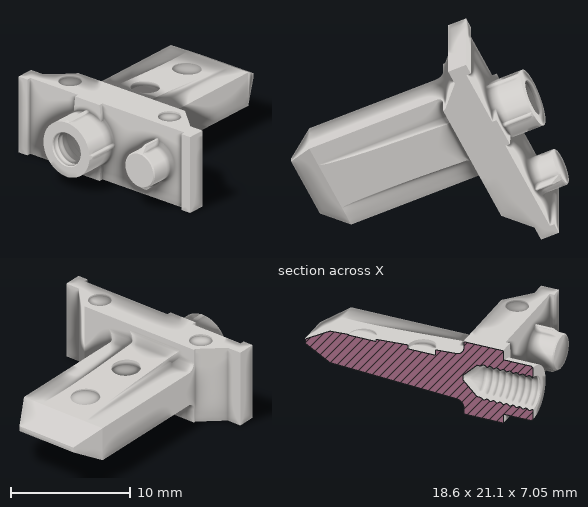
import cadquery as cq
import math

flange_length = 18.6
flange_height = 7.05
flange_back_y = 3.68
foot_width = 0.95
foot_back_y = 1.65
seat_y = 0.4
slope_outer_x = 7.97
slope_inner_x = 5.73

pad_end_width = 2.66
pad_side_angle = 5.5

blade_center_x = -1.75
blade_width = 8.4
blade_thickness = 3.1
tip_length = 2.28
tip_taper_angle = 30
blade_end_y = 18.3
shoulder_y = blade_end_y - tip_length
blade_root_fillet = 0.7

rib_width = 4.0
rib_side_fillet = 0.4
rib_root_height = 0.7
rib_root_end_y = 6.0

rib_pocket_diameter = 2.5
rib_pocket_ys = (7.53, 13.03)
rib_pocket_floor_z = blade_thickness / 2 + 0.03
flange_pocket_diameter = 2.0
flange_pocket_x = 5.4
flange_pocket_y = 2.05
flange_pocket_depth = 0.2

socket_x = -1.85
socket_diameter = 5.0
socket_end_y = -2.75
socket_root_fillet = 0.15
socket_bead_radius = 0.24
socket_bead_height = 0.16
socket_bead_chamfer = 0.2

bore_diameter = 3.0
bore_mouth_chamfer = 0.07
bore_depth = 5.2
bore_tip_diameter = 0.5
bore_tip_angle = 90
thread_pitch = 0.6
thread_depth = 0.2
thread_count = 8

pin_x = 5.45
pin_diameter = 3.2
pin_end_y = -2.0
pin_root_fillet = 0.3
pin_end_chamfer = 0.1
pin_key_top_z = 2.12
pin_key_base_width = 0.6
pin_key_tip_radius = 0.13
pin_key_slope_start_y = -1.16


def cylinder_along_y(x, radius, start_y, end_y):
    """Solid cylinder parallel to Y, centred on Z = 0."""
    return cq.Workplane("XZ", origin=(x, start_y, 0)).circle(radius).extrude(start_y - end_y)


def revolved_about_y(x, profile):
    """Revolve (radius, y) points about the line parallel to Y through X = x."""
    section = cq.Workplane("XY", origin=(x, 0, 0)).polyline(profile).close()
    return section.revolve(360, (0, 0, 0), (0, 1, 0))


def mirrored_in_z(upper):
    """Upper solid together with its mirror image below Z = 0."""
    return upper.union(upper.mirror("XY"))


def make_flange():
    """Flange plate with two feet; its left slope stops at the side of the blade."""
    half_length = flange_length / 2
    foot_inner_x = half_length - foot_width
    right_side = [
        (foot_inner_x, seat_y),
        (foot_inner_x, 0),
        (half_length, 0),
        (half_length, foot_back_y),
        (slope_outer_x, foot_back_y),
        (slope_inner_x, flange_back_y),
    ]
    blade_side_x = blade_center_x - blade_width / 2
    slope = (flange_back_y - foot_back_y) / (slope_outer_x - slope_inner_x)
    left_side = [
        (blade_side_x, flange_back_y),
        (blade_side_x, foot_back_y + slope * (slope_outer_x + blade_side_x)),
        (-slope_outer_x, foot_back_y),
        (-half_length, foot_back_y),
        (-half_length, 0),
        (-foot_inner_x, 0),
        (-foot_inner_x, seat_y),
    ]
    outline = cq.Workplane("XY").polyline(right_side + left_side).close()
    return outline.extrude(flange_height / 2, both=True)


def make_pad():
    """Pad flush with the feet, widening from both flange edges toward the socket."""
    half_height = flange_height / 2
    half_end = pad_end_width / 2
    half_middle = half_end + half_height * math.tan(math.radians(pad_side_angle))
    outline = [
        (-half_end, -half_height),
        (half_end, -half_height),
        (half_middle, 0),
        (half_end, half_height),
        (-half_end, half_height),
        (-half_middle, 0),
    ]
    return cq.Workplane("XZ", origin=(socket_x, 0, 0)).polyline(outline).close().extrude(-flange_back_y / 2)


def make_blade():
    """Rectangular blade with a tip tapered on all four sides."""
    start_y = flange_back_y / 2
    body = cq.Workplane("XZ", origin=(blade_center_x, start_y, 0))
    body = body.rect(blade_width, blade_thickness).extrude(start_y - shoulder_y)
    tip = cq.Workplane("XZ", origin=(blade_center_x, shoulder_y, 0))
    tip = tip.rect(blade_width, blade_thickness).extrude(-tip_length, taper=tip_taper_angle)
    return body.union(tip)


def make_rib_wedge(width, end_y):
    """Plain rib on the blade, sloping down toward the tip and cut off at end_y."""
    face_z = blade_thickness / 2
    start_y = flange_back_y / 2
    slope = rib_root_height / (shoulder_y - flange_back_y)
    outline = [
        (start_y, 0),
        (end_y, 0),
        (end_y, face_z + slope * (shoulder_y - end_y)),
        (start_y, face_z + slope * (shoulder_y - start_y)),
    ]
    side = cq.Workplane("YZ", origin=(blade_center_x, 0, 0)).polyline(outline).close()
    return side.extrude(width / 2, both=True)


def make_rib_section():
    """Prism with the rib section: quarter-round flares onto the blade, taller than the rib."""
    face_z = blade_thickness / 2
    fillet_z = face_z + rib_side_fillet
    top_z = face_z + 2 * rib_root_height
    start_y = flange_back_y / 2
    inner_x = rib_width / 2
    outer_x = inner_x + rib_side_fillet
    arc_offset = rib_side_fillet * (1 - math.sqrt(0.5))
    return (
        cq.Workplane("XZ", origin=(blade_center_x, start_y, 0))
        .moveTo(-outer_x, 0)
        .lineTo(-outer_x, face_z)
        .threePointArc((-inner_x - arc_offset, face_z + arc_offset), (-inner_x, fillet_z))
        .lineTo(-inner_x, top_z)
        .lineTo(inner_x, top_z)
        .lineTo(inner_x, fillet_z)
        .threePointArc((inner_x + arc_offset, face_z + arc_offset), (outer_x, face_z))
        .lineTo(outer_x, 0)
        .close()
        .extrude(start_y - shoulder_y)
    )


def make_rib_roots():
    """Short sharp-cornered starts of both ribs, which carry the fillet onto the flange."""
    return mirrored_in_z(make_rib_wedge(rib_width, rib_root_end_y))


def make_ribs():
    """Both ribs at full length, with the side flares running out toward the tip."""
    wedge = make_rib_wedge(blade_width, shoulder_y)
    return mirrored_in_z(make_rib_section().intersect(wedge))


def fillet_blade_root(body):
    """Round the corner between the flange and the blade with its rib roots."""
    margin = 0.05
    reach_x = blade_width / 2 + margin
    reach_z = blade_thickness / 2 + rib_root_height + margin
    root_edges = cq.selectors.BoxSelector(
        (blade_center_x - reach_x, flange_back_y - margin, -reach_z),
        (blade_center_x + reach_x, flange_back_y + margin, reach_z),
    )
    return body.edges(root_edges).fillet(blade_root_fillet)


def make_root_fillet(x, radius, fillet_radius):
    """Concave ring between a round post and the seat face of the flange."""
    arc_offset = fillet_radius * (1 - math.sqrt(0.5))
    return (
        cq.Workplane("XY", origin=(x, 0, 0))
        .moveTo(0, seat_y)
        .lineTo(radius + fillet_radius, seat_y)
        .threePointArc((radius + arc_offset, seat_y - arc_offset), (radius, seat_y - fillet_radius))
        .lineTo(0, seat_y - fillet_radius)
        .close()
        .revolve(360, (0, 0, 0), (0, 1, 0))
    )


def make_socket():
    """Round socket post with four beads along its side, chamfered at the free end."""
    radius = socket_diameter / 2
    bead_reach = radius + socket_bead_height
    socket = cylinder_along_y(socket_x, radius, seat_y, socket_end_y)
    envelope = revolved_about_y(socket_x, [
        (0, seat_y),
        (bead_reach, seat_y),
        (bead_reach, socket_end_y + socket_bead_chamfer),
        (radius, socket_end_y),
        (0, socket_end_y),
    ])
    beads = (
        cq.Workplane("XZ", origin=(socket_x, seat_y, 0))
        .polarArray(bead_reach - socket_bead_radius, 0, 360, 4)
        .circle(socket_bead_radius)
        .extrude(seat_y - socket_end_y)
    )
    root = make_root_fillet(socket_x, radius, socket_root_fillet)
    return socket.union(beads.intersect(envelope)).union(root)


def make_bore():
    """Cutter for the socket hole: mouth chamfer, V-ring thread and conical bottom."""
    radius = bore_diameter / 2
    tip_radius = bore_tip_diameter / 2
    tip_length_y = (radius - tip_radius) / math.tan(math.radians(bore_tip_angle / 2))
    thread_start_y = socket_end_y + bore_mouth_chamfer
    profile = [(0, socket_end_y), (radius + bore_mouth_chamfer, socket_end_y), (radius, thread_start_y)]
    for turn in range(thread_count):
        crest_y = thread_start_y + turn * thread_pitch
        profile.append((radius + thread_depth, crest_y + thread_pitch / 2))
        profile.append((radius, crest_y + thread_pitch))
    cone_start_y = socket_end_y + bore_depth
    profile.append((radius, cone_start_y))
    profile.append((tip_radius, cone_start_y + tip_length_y))
    profile.append((0, cone_start_y + tip_length_y))
    return revolved_about_y(socket_x, profile)


def make_pin_key():
    """Upper key of the pin: tapered section with a round crest and a sloping end."""
    half_base = pin_key_base_width / 2
    base_z = pin_diameter / 2 - pin_end_chamfer
    crest_z = pin_key_top_z - pin_key_tip_radius
    section = (
        cq.Workplane("XZ", origin=(pin_x, seat_y, 0))
        .moveTo(-half_base, 0)
        .lineTo(-half_base, base_z)
        .lineTo(-pin_key_tip_radius, crest_z)
        .threePointArc((0, pin_key_top_z), (pin_key_tip_radius, crest_z))
        .lineTo(half_base, base_z)
        .lineTo(half_base, 0)
        .close()
        .extrude(seat_y - pin_end_y)
    )
    side_outline = (
        cq.Workplane("YZ", origin=(pin_x, 0, 0))
        .polyline([
            (seat_y, 0),
            (pin_end_y, 0),
            (pin_end_y, base_z),
            (pin_key_slope_start_y, pin_key_top_z),
            (seat_y, pin_key_top_z),
        ])
        .close()
        .extrude(pin_diameter / 2, both=True)
    )
    return section.intersect(side_outline)


def make_pin():
    """Plain round pin with a key above and below."""
    radius = pin_diameter / 2
    pin = cylinder_along_y(pin_x, radius, seat_y, pin_end_y).faces("<Y").chamfer(pin_end_chamfer)
    key = make_pin_key()
    root = make_root_fillet(pin_x, radius, pin_root_fillet)
    return pin.union(root).union(key).union(key.mirror("XY"))


def make_pockets():
    """Cutters for the shallow round pockets in the upper rib and the flange."""
    above_z = flange_height
    rib_pockets = (
        cq.Workplane("XY", origin=(blade_center_x, 0, rib_pocket_floor_z))
        .pushPoints([(0, y) for y in rib_pocket_ys])
        .circle(rib_pocket_diameter / 2)
        .extrude(above_z)
    )
    flange_pockets = (
        cq.Workplane("XY", origin=(0, flange_pocket_y, flange_height / 2 - flange_pocket_depth))
        .pushPoints([(-flange_pocket_x, 0), (flange_pocket_x, 0)])
        .circle(flange_pocket_diameter / 2)
        .extrude(above_z)
    )
    return rib_pockets.union(flange_pockets)


body = make_flange().union(make_blade()).union(make_rib_roots())
body = fillet_blade_root(body).union(make_ribs())
body = body.union(make_pad()).union(make_socket()).union(make_pin())
result = body.cut(make_bore()).cut(make_pockets())